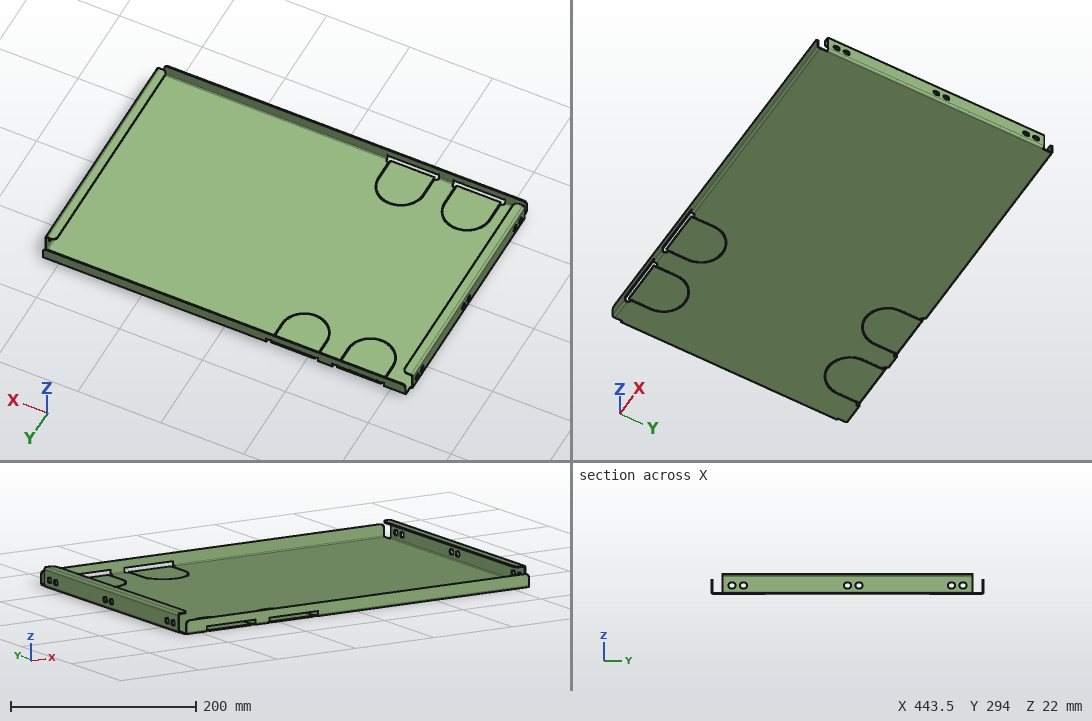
import cadquery as cq

length = 443.5
width = 294.0
height = 22.0
sheet = 1.5
bend_radius = 2.5
inner_bend_radius = bend_radius - sheet

wall_length = 270.0
lip_reach = 12.5
lip_corner_radius = 5.8

floor_length = 437.0
flange_height = 15.5
flange_corner_radius = 4.5

hole_length = 7.5
hole_height = 6.0
hole_z = 9.5
hole_spacing = 12.5
outer_pair_offset = 112.0
hole_places = [
    -outer_pair_offset - hole_spacing,
    -outer_pair_offset,
    0,
    hole_spacing,
    outer_pair_offset,
    outer_pair_offset + hole_spacing,
]

tab_places = [-161.5, -81.5]
tab_radius = 26.5
tab_arc_y = 116.5
tab_setback = 2.5
slit = 1.0
bridge_width = 1.5
bridge_y = 108.0

window_length = 62.5
window_height = 6.0
window_depth = 5.5
window_corner_radius = 2.0


def make_tray():
    """Floor with the two side flanges."""
    outside = (
        cq.Workplane("XY")
        .box(floor_length, width, flange_height, centered=(True, True, False))
        .edges("|X and <Z")
        .fillet(bend_radius)
        .edges("|Y and >Z")
        .fillet(flange_corner_radius)
    )
    inside = (
        cq.Workplane("XY", origin=(0, 0, sheet))
        .box(length, width - 2 * sheet, height, centered=(True, True, False))
        .edges("|X and <Z")
        .fillet(inner_bend_radius)
    )
    return outside.cut(inside)


def make_end_wall():
    """End wall at +X with its return lip and the bend that joins it to the floor."""
    outer_x = length / 2
    lip_x = outer_x - lip_reach
    outside = (
        cq.Workplane("XY")
        .box(lip_reach, wall_length, height, centered=(False, True, False))
        .translate((lip_x, 0, 0))
        .edges("|Y and >X")
        .fillet(bend_radius)
    )
    inside = (
        cq.Workplane("XY")
        .box(lip_reach, wall_length, height - 2 * sheet, centered=(False, True, False))
        .translate((lip_x - sheet, 0, sheet))
        .edges("|Y and >X")
        .fillet(inner_bend_radius)
    )
    lip_corners = cq.selectors.BoxSelector(
        (lip_x - sheet, -width, height - 2 * sheet),
        (lip_x + sheet, width, height),
    )
    return outside.cut(inside).edges("|Z").edges(lip_corners).fillet(lip_corner_radius)


def make_holes():
    """Obround cutters running through both end walls."""
    return (
        cq.Workplane("YZ", origin=(-length / 2, 0, 0))
        .pushPoints([(y, hole_z) for y in hole_places])
        .slot2D(hole_length, hole_height)
        .extrude(length)
    )


def make_tongue(radius, end_y):
    """Sheet-thick tongue from end_y towards the middle of the tray, with a round end."""
    return (
        cq.Workplane("XY")
        .moveTo(-radius, end_y)
        .lineTo(-radius, tab_arc_y)
        .threePointArc((0, tab_arc_y - radius), (radius, tab_arc_y))
        .lineTo(radius, end_y)
        .close()
        .extrude(sheet)
    )


def make_tab_cut():
    """Cutter for one tab at X = 0 on the +Y side: flange window and slit, less the bridges."""
    edge_y = width / 2
    window = (
        cq.Workplane("XY")
        .box(window_length, window_depth, window_height, centered=(True, False, False))
        .translate((0, edge_y - window_depth, 0))
        .edges("|Z and <Y")
        .fillet(window_corner_radius)
    )
    slit_outside = make_tongue(tab_radius + slit, edge_y)
    tab = make_tongue(tab_radius, edge_y - tab_setback)
    bridges = (
        cq.Workplane("XY", origin=(0, bridge_y, 0))
        .box(2 * (tab_radius + slit), bridge_width, sheet, centered=(True, True, False))
    )
    return window.union(slit_outside).cut(tab).cut(bridges)


end_wall = make_end_wall()
result = make_tray().union(end_wall).union(end_wall.mirror("YZ"))
result = result.cut(make_holes())

tab_cut = make_tab_cut()
for side_cut in (tab_cut, tab_cut.mirror("XZ")):
    for tab_x in tab_places:
        result = result.cut(side_cut.translate((tab_x, 0, 0)))